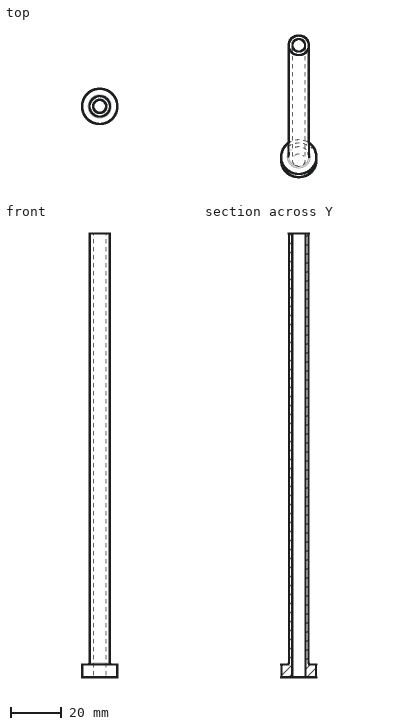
import cadquery as cq

total_length = 175.0
head_diameter = 14.0
head_height = 5.0
shaft_diameter = 8.0
bore_diameter = 5.0
neck_fillet = 0.5

head = cq.Workplane("XY").circle(head_diameter / 2).extrude(head_height)

sleeve = head.union(cq.Workplane("XY").circle(shaft_diameter / 2).extrude(total_length))

neck_circle = cq.selectors.RadiusNthSelector(0)
neck_edges = sleeve.faces(cq.selectors.NearestToPointSelector((0, 0, head_height))).edges(neck_circle)
sleeve = neck_edges.fillet(neck_fillet)

bore = cq.Workplane("XY").circle(bore_diameter / 2).extrude(total_length)
result = sleeve.cut(bore)